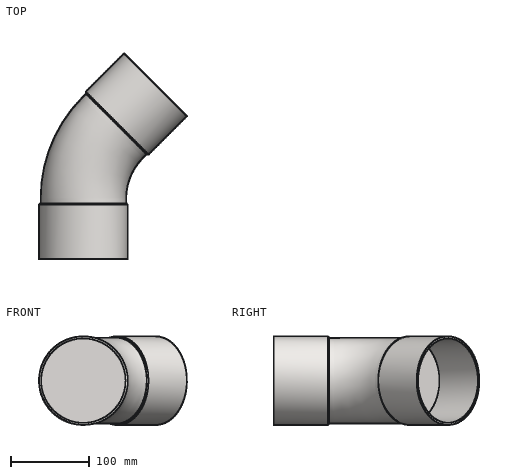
import cadquery as cq
import math

overall_length = 263.7
bend_angle = 45.0
socket_diameter = 114.0
socket_bore = 108.0
pipe_diameter = 110.0
socket_length = 69.5
socket_depth = 69.5
shoulder_chamfer = 1.5
neck_length = 6.3

shoulder_end = socket_length + shoulder_chamfer
straight_length = shoulder_end + neck_length

bend_sine = math.sin(math.radians(bend_angle))
bend_cosine = math.cos(math.radians(bend_angle))
bend_radius = (
    overall_length - straight_length * (1 + bend_cosine)
) / bend_sine - socket_diameter / 2

far_x = bend_radius * (1 - bend_cosine) + straight_length * bend_sine
far_y = straight_length * (1 + bend_cosine) + bend_radius * bend_sine


def make_end(face_plane):
    """Straight end with a blind socket; the plane's normal points into the elbow."""
    body = (
        cq.Workplane(face_plane)
        .circle(socket_diameter / 2)
        .extrude(shoulder_end)
        .faces(cq.selectors.DirectionMinMaxSelector(face_plane.zDir, True))
        .chamfer(shoulder_chamfer)
    )
    neck = cq.Workplane(face_plane).circle(pipe_diameter / 2).extrude(straight_length)
    socket = cq.Workplane(face_plane).circle(socket_bore / 2).extrude(socket_depth)
    return body.union(neck).cut(socket)


def make_bend():
    """Solid curved section turning from +Y towards +X."""
    return (
        cq.Workplane("XZ", origin=(0, straight_length, 0))
        .circle(pipe_diameter / 2)
        .revolve(bend_angle, (bend_radius, 0, 0), (bend_radius, -1, 0))
    )


near_face = cq.Plane(origin=(0, 0, 0), xDir=(1, 0, 0), normal=(0, 1, 0))
far_face = cq.Plane(
    origin=(far_x, far_y, 0), xDir=(0, 0, 1), normal=(-bend_sine, -bend_cosine, 0)
)

result = make_bend().union(make_end(near_face)).union(make_end(far_face))